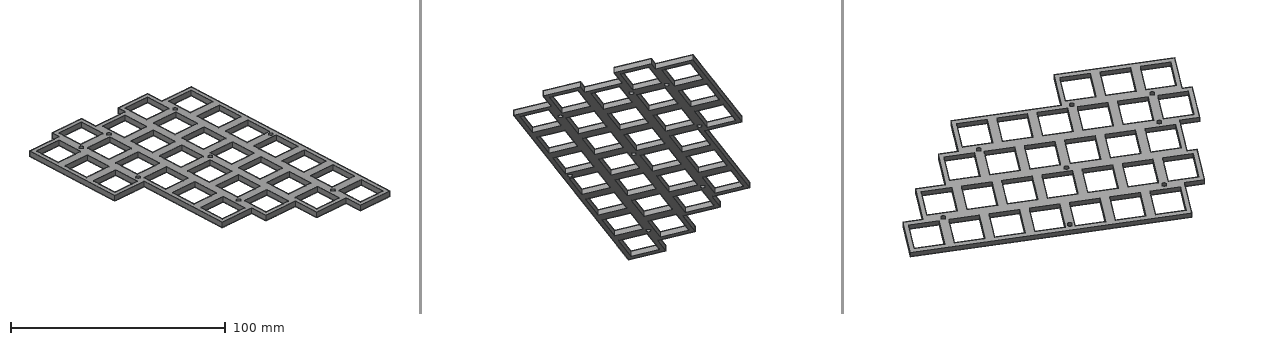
import cadquery as cq

key_pitch = 19.05
plate_thickness = 3.0
switch_opening = 14.5
screw_diameter = 2.2

rows = [
    (0.75, 7),
    (0.25, 7),
    (0.50, 6),
    (0.00, 6),
    (0.25, 3),
]

screw_holes = [
    (3.75, 3.6),
    (6.75, 18.45),
    (1.25, 19.6),
    (3.50, 38.1),
    (5.50, 56.5),
    (1.00, 57.75),
    (1.00, 75.6),
    (3.00, 75.6),
]

plate_length = key_pitch * max(offset + count for offset, count in rows)
plate_width = key_pitch * len(rows)
left_end = -plate_length / 2
back_edge = plate_width / 2


def column_x(pitches):
    """X of a position given in key pitches from the left end."""
    return left_end + pitches * key_pitch


def row_edge_y(row):
    """Y of the back edge of a row."""
    return back_edge - row * key_pitch


def make_plate():
    """Solid plate whose stepped outline follows the ends of the rows."""
    left_side = []
    right_side = []
    for row, (offset, count) in enumerate(rows):
        row_back = row_edge_y(row)
        row_front = row_edge_y(row + 1)
        left_x = column_x(offset)
        right_x = column_x(offset + count)
        left_side += [(left_x, row_back), (left_x, row_front)]
        right_side += [(right_x, row_back), (right_x, row_front)]
    outline = right_side + left_side[::-1]
    return cq.Workplane("XY").polyline(outline).close().extrude(plate_thickness)


def cut_switch_openings(plate):
    """Square through opening at the centre of every key cell."""
    centres = [
        (column_x(offset + key + 0.5), row_edge_y(row + 0.5))
        for row, (offset, count) in enumerate(rows)
        for key in range(count)
    ]
    openings = (
        cq.Workplane("XY")
        .pushPoints(centres)
        .rect(switch_opening, switch_opening)
        .extrude(plate_thickness)
    )
    return plate.cut(openings)


def cut_screw_holes(plate):
    """Round through holes in the webs between keys."""
    centres = [(column_x(pitches), back_edge - distance) for pitches, distance in screw_holes]
    holes = (
        cq.Workplane("XY")
        .pushPoints(centres)
        .circle(screw_diameter / 2)
        .extrude(plate_thickness)
    )
    return plate.cut(holes)


result = cut_screw_holes(cut_switch_openings(make_plate()))